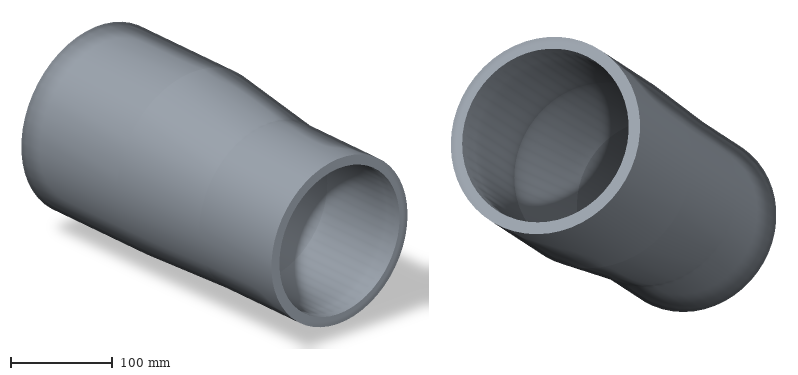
import cadquery as cq

total_length = 370.0
large_length = 141.5
taper_length = 121.7
small_length = total_length - large_length - taper_length

large_outer_diameter = 200.0
large_bore_diameter = 176.0
small_outer_diameter = 180.0
small_bore_diameter = 158.7

small_axis_y = -(large_outer_diameter - small_outer_diameter) / 2


def reducer_solid(large_diameter, small_diameter):
    """Large cylinder, eccentric taper and small cylinder joined into one solid."""
    taper_start = cq.Workplane("YZ", origin=(large_length, 0, 0))
    small_start = cq.Workplane("YZ", origin=(large_length + taper_length, small_axis_y, 0))

    large_end = cq.Workplane("YZ").circle(large_diameter / 2).extrude(large_length)
    taper = (
        taper_start.circle(large_diameter / 2)
        .workplane(offset=taper_length)
        .center(small_axis_y, 0)
        .circle(small_diameter / 2)
        .loft(ruled=True)
    )
    small_end = small_start.circle(small_diameter / 2).extrude(small_length)
    return large_end.union(taper).union(small_end)


outer_body = reducer_solid(large_outer_diameter, small_outer_diameter)
bore = reducer_solid(large_bore_diameter, small_bore_diameter)
result = outer_body.cut(bore)